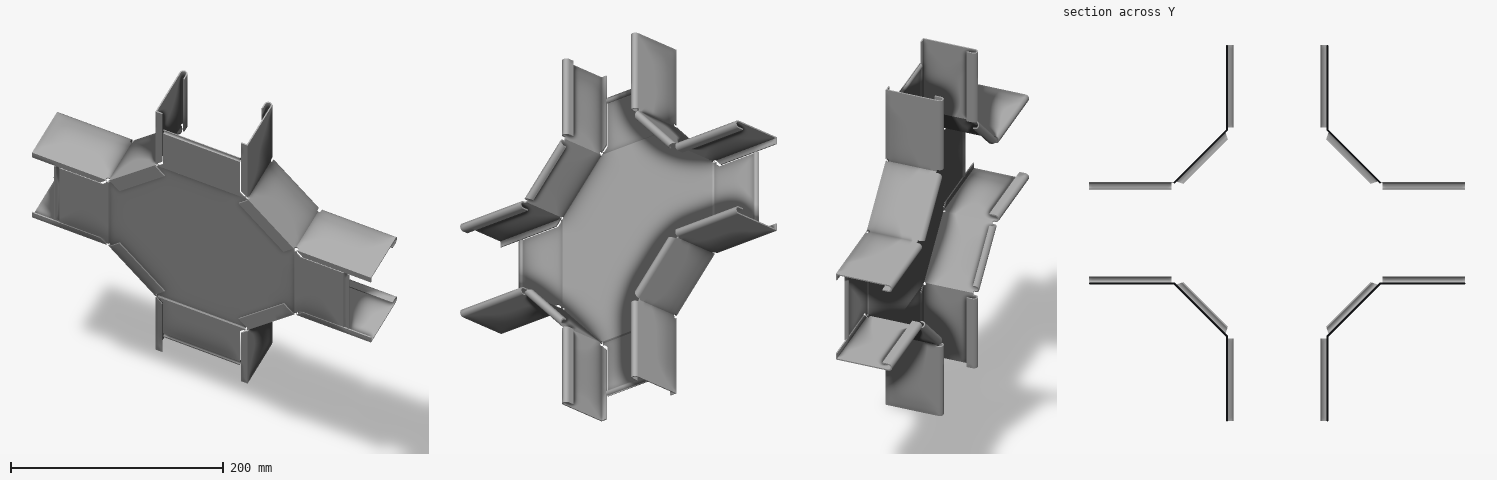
import cadquery as cq
import math


reach = 177.0
height = 57.0
arm_half_width = 48.0
fold = 97.5

wall_thickness = 1.27
lip_radius = 4.0
lip_drop = 10.0
lip_notch_depth = 5.5
arm_lip_gap = 1.95
corner_lip_gap = 1.25
corner_lip_bevel = 0.5

arm_flange_width = 7.0
arm_flange_gap = 3.2
arm_flange_land = 1.8
corner_flange_width = 15.0
corner_flange_gap = 1.52

relief_radius = 1.95
relief_offset = 0.9
relief_height = 1.6

plate_thickness = 0.7
tongue_end = 154.0
tongue_half_width = 40.0
root_half_width = 45.5
root_length = 2.3
root_shoulder = 2.0
bead_centre = 150.5
bead_radius = 1.98

octagon_edge = fold - wall_thickness
corner_length = (fold - arm_half_width) * math.sqrt(2)
corner_distance = (fold + arm_half_width) / math.sqrt(2)
lip_base = height - lip_notch_depth
lip_tangent = height - lip_radius
half_bend_tangent = math.tan(math.radians(45 / 2))


def prism(points, bottom, top):
    """Extrude an outline of (x, z) points from Y = bottom to Y = top."""
    plane = cq.Plane(origin=(0, bottom, 0), xDir=(0, 0, 1), normal=(0, 1, 0))
    outline = [(z, x) for x, z in points]
    return cq.Workplane(plane).polyline(outline).close().extrude(top - bottom)


def with_mirror_image(body):
    """Add the copy reflected in the plane X = Z, which swaps the X arm and the Z arm."""
    return body.union(body.rotate((0, 0, 0), (0, 1, 0), 90).mirror("XY"))


def lip_section(plane):
    """Upper wall strip with its rolled lip; local x points inwards, local y is up."""
    inner_radius = lip_radius - wall_thickness
    lip_width = 2 * lip_radius
    return (
        cq.Workplane(plane)
        .moveTo(0, lip_base)
        .lineTo(0, lip_tangent)
        .threePointArc((lip_radius, height), (lip_width, lip_tangent))
        .lineTo(lip_width, height - lip_drop)
        .lineTo(lip_width - wall_thickness, height - lip_drop)
        .lineTo(lip_width - wall_thickness, lip_tangent)
        .threePointArc((lip_radius, lip_tangent + inner_radius), (wall_thickness, lip_tangent))
        .lineTo(wall_thickness, lip_base)
        .close()
    )


def walls():
    """Both arm walls and the corner wall between them, up to the notch floor."""
    inner = arm_half_width - wall_thickness
    inner_fold = fold - wall_thickness * half_bend_tangent
    outline = [
        (arm_half_width, reach),
        (arm_half_width, fold),
        (fold, arm_half_width),
        (reach, arm_half_width),
        (reach, inner),
        (inner_fold, inner),
        (inner, inner_fold),
        (inner, reach),
    ]
    return prism(outline, 0, lip_base)


def arm_lip():
    """Lip along the wall of the Z arm."""
    start = fold + arm_lip_gap
    plane = cq.Plane(origin=(arm_half_width, 0, reach), xDir=(-1, 0, 0), normal=(0, 0, -1))
    return lip_section(plane).extrude(reach - start)


def arm_flange():
    """Flange along the underside of the Z arm, its inner end cut at 45 degrees."""
    start = fold + arm_flange_gap
    inner = arm_half_width - arm_flange_width
    outline = [
        (arm_half_width, start),
        (arm_half_width - arm_flange_land, start),
        (inner, start + arm_flange_width - arm_flange_land),
        (inner, reach),
        (arm_half_width, reach),
    ]
    return prism(outline, 0, wall_thickness)


def relief_hole():
    """Hole through the wall at the fold of the Z arm."""
    depth = 4 * wall_thickness
    return (
        cq.Workplane("YZ", origin=(arm_half_width - depth / 2, 0, 0))
        .center(relief_height, fold + relief_offset)
        .circle(relief_radius)
        .extrude(depth)
    )


def turned_to_diagonal(body):
    """Turn a body built along the X axis onto the diagonal between +X and +Z."""
    return body.rotate((0, 0, 0), (0, 1, 0), -45)


def corner_lip():
    """Lip along the corner wall, with bevelled ends."""
    half_length = corner_length / 2
    plane = cq.Plane(
        origin=(corner_distance, 0, half_length), xDir=(-1, 0, 0), normal=(0, 0, -1)
    )
    strip = lip_section(plane).extrude(corner_length)
    outer_end = half_length - corner_lip_gap
    inner_end = outer_end - 2 * lip_radius * corner_lip_bevel
    inner_edge = corner_distance - 2 * lip_radius
    bounds = [
        (corner_distance, outer_end),
        (inner_edge, inner_end),
        (inner_edge, -inner_end),
        (corner_distance, -outer_end),
    ]
    return turned_to_diagonal(strip.intersect(prism(bounds, lip_base, height)))


def corner_flange():
    """Flange along the underside of the corner wall."""
    half_length = corner_length / 2 - corner_flange_gap
    inner_edge = corner_distance - corner_flange_width
    outline = [
        (corner_distance, half_length),
        (inner_edge, half_length),
        (inner_edge, -half_length),
        (corner_distance, -half_length),
    ]
    return turned_to_diagonal(prism(outline, 0, wall_thickness))


def corner_piece():
    """Folded corner piece between the +X and +Z arms."""
    arm_parts = with_mirror_image(arm_lip().union(arm_flange()))
    piece = walls().union(arm_parts).union(corner_lip()).union(corner_flange())
    return piece.cut(with_mirror_image(relief_hole()))


def quarter_turn(body, turn):
    """Turn a body about the Y axis by a number of quarter turns."""
    return body.rotate((0, 0, 0), (0, 1, 0), 90 * turn)


def octagon():
    """Raised middle of the floor plate, resting on the corner flanges."""
    corner_side = [(root_half_width, octagon_edge), (octagon_edge, root_half_width)]
    outline = (
        corner_side
        + [(x, -z) for x, z in reversed(corner_side)]
        + [(-x, -z) for x, z in corner_side]
        + [(-x, z) for x, z in reversed(corner_side)]
    )
    return prism(outline, wall_thickness, wall_thickness + plate_thickness)


def tongue():
    """Tongue of the floor plate in the +Z arm: step down, flat floor and bead near the end."""
    bend_shift = plate_thickness * half_bend_tangent
    bead_outer_radius = bead_radius + plate_thickness
    bead_outer_half = math.sqrt(bead_outer_radius**2 - plate_thickness**2)
    raised_top = wall_thickness + plate_thickness
    section = (
        cq.Workplane("YZ", origin=(-root_half_width, 0, 0))
        .moveTo(wall_thickness, octagon_edge)
        .lineTo(0, fold)
        .lineTo(0, bead_centre - bead_radius)
        .threePointArc((bead_radius, bead_centre), (0, bead_centre + bead_radius))
        .lineTo(0, tongue_end)
        .lineTo(plate_thickness, tongue_end)
        .lineTo(plate_thickness, bead_centre + bead_outer_half)
        .threePointArc(
            (bead_outer_radius, bead_centre),
            (plate_thickness, bead_centre - bead_outer_half),
        )
        .lineTo(plate_thickness, fold + bend_shift)
        .lineTo(raised_top, octagon_edge + bend_shift)
        .lineTo(raised_top, octagon_edge)
        .close()
    )
    sheet = section.extrude(2 * root_half_width)

    root_end = fold + root_length
    shoulder = root_half_width - root_shoulder
    right_side = [
        (root_half_width, octagon_edge),
        (root_half_width, root_end),
        (shoulder, root_end),
        (tongue_half_width, root_end + shoulder - tongue_half_width),
        (tongue_half_width, tongue_end),
    ]
    outline = right_side + [(-x, z) for x, z in reversed(right_side)]
    return sheet.intersect(prism(outline, 0, height))


def floor_plate():
    """Octagon with a tongue into each arm."""
    plate = octagon()
    for turn in range(4):
        plate = plate.union(quarter_turn(tongue(), turn))
    return plate


floor = floor_plate()
corner = corner_piece()
corners = [quarter_turn(corner, turn) for turn in range(4)]

result = cq.Compound.makeCompound([floor.val(), *[piece.val() for piece in corners]])